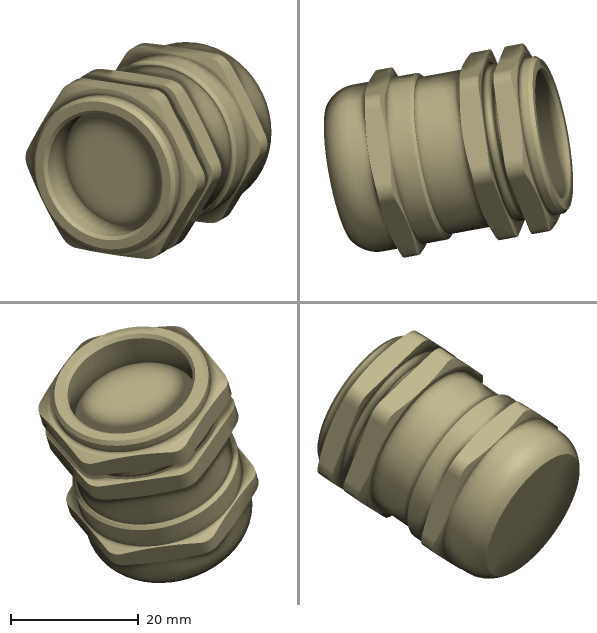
import cadquery as cq
import math

total_length = 34.08

barrel_radius = 25.0 / 2
thread_end_radius = 24.0 / 2
end_chamfer_length = 0.6
relief_start = 6.0
relief_bottom = 6.58
relief_radius = thread_end_radius

seal_section_radius = 1.0
seal_center_radius = barrel_radius - seal_section_radius
seal_center = 7.5
recess_radius = 12.95
recess_end = seal_center + seal_section_radius

cap_radius = 26.5 / 2
cap_start = 19.1
cap_chamfer_length = 0.48
cap_chamfer_width = 0.5
dome_start = 30.0
dome_top_radius = 11.25

bore_radius = 20.0 / 2
bore_chamfer = 0.5
bore_depth = 6.2

across_flats = 27.0
corner_span = 30.25
hex_bevel_depth = 0.58
locknut_start = 2.1
locknut_end = 5.52
body_hex_start = 7.97
body_hex_end = 11.55
cap_hex_start = 23.38
cap_hex_end = 26.92


def make_body():
    """Revolve the round profile, drawn as radius along X, about the Y axis."""
    dome_height = total_length - dome_start
    dome_inset = cap_radius - dome_top_radius
    dome_arc_radius = (dome_height**2 + dome_inset**2) / (2 * dome_inset)
    half_angle = math.asin(dome_height / dome_arc_radius) / 2
    dome_middle = (
        cap_radius - dome_arc_radius * (1 - math.cos(half_angle)),
        dome_start + dome_arc_radius * math.sin(half_angle),
    )
    return (
        cq.Workplane("XY")
        .lineTo(thread_end_radius, 0)
        .lineTo(barrel_radius, end_chamfer_length)
        .lineTo(barrel_radius, relief_start)
        .lineTo(relief_radius, relief_bottom)
        .lineTo(seal_center_radius, relief_bottom)
        .lineTo(seal_center_radius, recess_end)
        .lineTo(barrel_radius, recess_end)
        .lineTo(barrel_radius, cap_start)
        .lineTo(cap_radius - cap_chamfer_width, cap_start)
        .lineTo(cap_radius, cap_start + cap_chamfer_length)
        .lineTo(cap_radius, dome_start)
        .threePointArc(dome_middle, (dome_top_radius, total_length))
        .lineTo(0, total_length)
        .close()
        .revolve(360, (0, 0), (0, 1))
    )


def make_hexagon(start, end, bevel_start, bevel_end, face_radius=across_flats / 2):
    """Make a hexagon with rounded corners and conical bevels on the chosen ends."""
    flat_radius = across_flats / 2
    corner_radius = corner_span / 2
    sharp_radius = flat_radius / math.cos(math.pi / 6)
    corner_fillet = (sharp_radius - corner_radius) / (1 / math.cos(math.pi / 6) - 1)
    prism = (
        cq.Workplane("XZ", origin=(0, start, 0))
        .polygon(6, 2 * sharp_radius)
        .extrude(start - end)
        .edges("|Y")
        .fillet(corner_fillet)
    )
    start_radius = face_radius if bevel_start else corner_radius
    end_radius = face_radius if bevel_end else corner_radius
    clearance = 0.007
    envelope_points = [(0, start), (start_radius + clearance, start)]
    if bevel_start:
        envelope_points.append((corner_radius + clearance, start + hex_bevel_depth))
    if bevel_end:
        envelope_points.append((corner_radius + clearance, end - hex_bevel_depth))
    envelope_points += [(end_radius + clearance, end), (0, end)]
    envelope = cq.Workplane("XY").polyline(envelope_points).close().revolve(360, (0, 0), (0, 1))
    return prism.intersect(envelope)


def make_seal_recess():
    """Make the shallow round recess that seats the sealing ring."""
    return (
        cq.Workplane("XZ", origin=(0, body_hex_start, 0))
        .circle(recess_radius)
        .extrude(body_hex_start - recess_end)
    )


def make_seal():
    """Make the sealing ring, filled solid to the axis so it joins the body."""
    return (
        cq.Workplane("XY")
        .moveTo(0, seal_center - seal_section_radius)
        .lineTo(seal_center_radius, seal_center - seal_section_radius)
        .threePointArc((barrel_radius, seal_center), (seal_center_radius, recess_end))
        .lineTo(0, recess_end)
        .close()
        .revolve(360, (0, 0), (0, 1))
    )


def make_bore():
    """Make the blind bore with its chamfered mouth."""
    return (
        cq.Workplane("XY")
        .lineTo(bore_radius + bore_chamfer, 0)
        .lineTo(bore_radius, bore_chamfer)
        .lineTo(bore_radius, bore_depth)
        .lineTo(0, bore_depth)
        .close()
        .revolve(360, (0, 0), (0, 1))
    )


locknut = make_hexagon(locknut_start, locknut_end, True, False)
body_hex = make_hexagon(body_hex_start, body_hex_end, False, True).cut(make_seal_recess())
cap_hex = make_hexagon(cap_hex_start, cap_hex_end, True, True, face_radius=cap_radius)

result = make_body().union(body_hex).union(make_seal()).union(locknut).union(cap_hex).cut(make_bore())